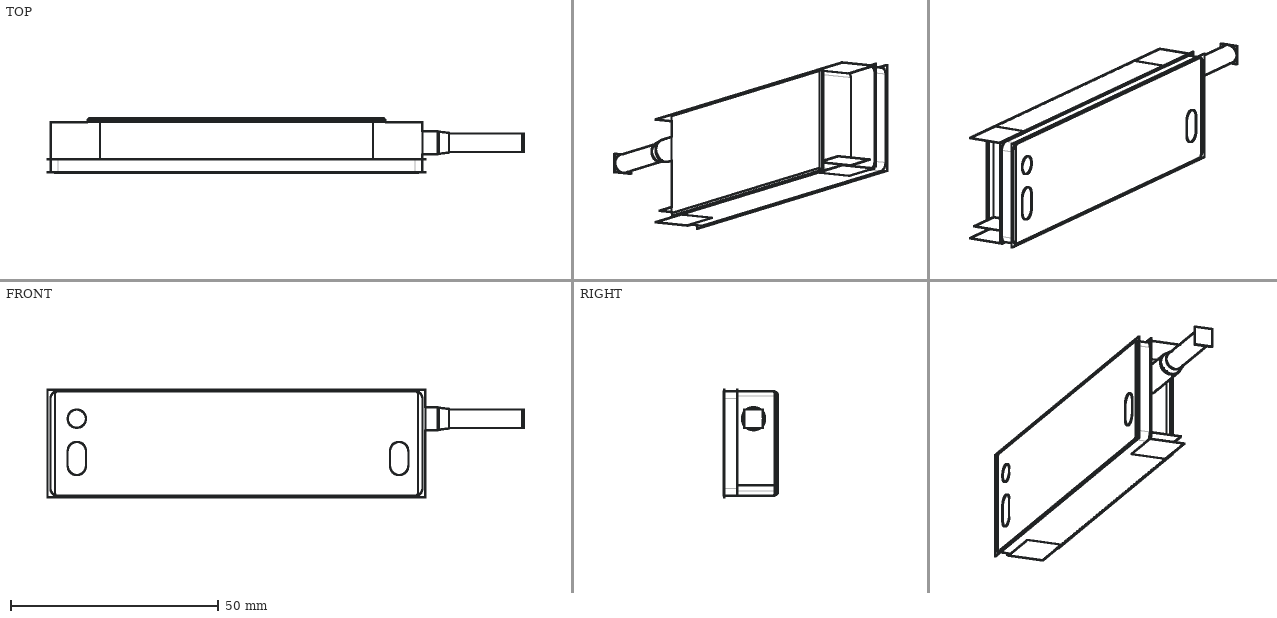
import cadquery as cq


TOTAL_LENGTH = 115.12
TOTAL_DEPTH = 13.24
TOTAL_HEIGHT = 26.0

PLATE_LENGTH = 89.8
PLATE_HEIGHT = 25.3
PLATE_DEPTH = 3.4
PLATE_CORNER = 1.8
LIP_LENGTH = 91.3
LIP_THICKNESS = 0.1
BACK_LIP_BOTTOM = -12.2

FRONT_PANEL_LENGTH = 87.7
FRONT_PANEL_HEIGHT = 25.2
FRONT_PANEL_RISE = 0.15
FRONT_PANEL_CORNER = 0.6

EAR_LENGTH = 11.2
HOUSING_LENGTH = PLATE_LENGTH - 2 * EAR_LENGTH
BACK_PANEL_THICKNESS = 0.94
HOUSING_CORNER = 1.2
HOUSING_BACK = TOTAL_DEPTH - BACK_PANEL_THICKNESS
FLAP_THICKNESS = 0.1
INNER_FLAP_RISE = 2.6
INNER_FLAP_SETBACK = 2.0

BACK_PANEL_LENGTH = 72.0
BACK_PANEL_HEIGHT = 24.8
BACK_PANEL_CHAMFER = 0.5

RECESS_DEPTH = 0.2
RECESS_WIDTH = 4.4
SLOT_LENGTH = 8.0
LEFT_RECESS_X = -38.55
RIGHT_RECESS_X = 39.3
SLOT_Z = -3.6
ROUND_RECESS_Z = 6.0

CABLE_Y = 7.3
CABLE_Z = 6.0
GLAND_RADIUS = 2.8
GLAND_OVERHANG = 4.0
GLAND_CHAMFER = 0.4
CONE_LENGTH = 2.4
CONE_START_RADIUS = 2.7
CONE_END_RADIUS = 2.4
CABLE_RADIUS = 2.25
CABLE_END_X = TOTAL_LENGTH - LIP_LENGTH / 2
END_TAB_THICKNESS = 0.5


def block(x_range, y_range, z_range):
    """Box between the given limits on each axis."""
    x0, x1 = x_range
    y0, y1 = y_range
    z0, z1 = z_range
    return cq.Workplane("XY").box(x1 - x0, y1 - y0, z1 - z0, centered=False).translate((x0, y0, z0))


def centred(size):
    """Limits of a length centred on zero."""
    return (-size / 2, size / 2)


def make_plate():
    """Base plate with rounded corners, its edge lips and the raised front panel."""
    lip_front = FRONT_PANEL_RISE
    lip_back = lip_front + LIP_THICKNESS
    plate = block(centred(PLATE_LENGTH), (lip_front, PLATE_DEPTH), centred(PLATE_HEIGHT))
    plate = plate.edges("|Y").fillet(PLATE_CORNER)
    front_lip = block(centred(LIP_LENGTH), (lip_front, lip_back), centred(TOTAL_HEIGHT))
    back_lip = block(
        centred(LIP_LENGTH),
        (PLATE_DEPTH - LIP_THICKNESS, PLATE_DEPTH),
        (BACK_LIP_BOTTOM, TOTAL_HEIGHT / 2),
    )
    panel = block(centred(FRONT_PANEL_LENGTH), (0, lip_back), centred(FRONT_PANEL_HEIGHT))
    panel = panel.edges("|Y").fillet(FRONT_PANEL_CORNER)
    return plate.union(front_lip).union(back_lip).union(panel)


def make_housing():
    """Housing block, the flaps that carry on over both ears, and the chamfered back panel."""
    depth = (PLATE_DEPTH - LIP_THICKNESS, HOUSING_BACK)
    bottom, top = centred(PLATE_HEIGHT)
    inner = bottom + INNER_FLAP_RISE
    inner_length = PLATE_LENGTH - 2 * INNER_FLAP_SETBACK
    housing = block(centred(HOUSING_LENGTH), depth, (bottom, top))
    housing = housing.edges("|Y").fillet(HOUSING_CORNER)
    flaps = (
        (PLATE_LENGTH, top),
        (inner_length, inner),
        (PLATE_LENGTH, bottom + FLAP_THICKNESS),
    )
    for length, flap_top in flaps:
        housing = housing.union(block(centred(length), depth, (flap_top - FLAP_THICKNESS, flap_top)))
    back_panel = block(centred(BACK_PANEL_LENGTH), (HOUSING_BACK, TOTAL_DEPTH), centred(BACK_PANEL_HEIGHT))
    back_panel = back_panel.faces(">Y").chamfer(BACK_PANEL_CHAMFER)
    return housing.union(back_panel)


def rod(start_x, end_x, start_radius, end_radius):
    """Round rod, straight or tapered, on the cable axis."""
    profile = [(start_x, 0), (start_x, start_radius), (end_x, end_radius), (end_x, 0)]
    solid = cq.Workplane("XY").polyline(profile).close().revolve(360, (0, 0, 0), (1, 0, 0))
    return solid.translate((0, CABLE_Y, CABLE_Z))


def make_cable():
    """Gland, tapered sleeve and cable, closed by a square end tab."""
    gland_end = PLATE_LENGTH / 2 + GLAND_OVERHANG
    cone_end = gland_end + CONE_LENGTH
    gland = rod(HOUSING_LENGTH / 2, gland_end, GLAND_RADIUS, GLAND_RADIUS)
    gland = gland.faces(">X").chamfer(GLAND_CHAMFER)
    cone = rod(gland_end, cone_end, CONE_START_RADIUS, CONE_END_RADIUS)
    cable = rod(cone_end, CABLE_END_X, CABLE_RADIUS, CABLE_RADIUS)
    tab = block(
        (CABLE_END_X - END_TAB_THICKNESS, CABLE_END_X),
        (CABLE_Y - CABLE_RADIUS, CABLE_Y + CABLE_RADIUS),
        (CABLE_Z - CABLE_RADIUS, CABLE_Z + CABLE_RADIUS),
    )
    return gland.union(cone).union(cable).union(tab)


def make_recesses():
    """Cutters for the round recess and the two upright slots in the front face."""
    round_recess = cq.Workplane("XZ").center(LEFT_RECESS_X, ROUND_RECESS_Z).circle(RECESS_WIDTH / 2)
    slot_centres = [(LEFT_RECESS_X, SLOT_Z), (RIGHT_RECESS_X, SLOT_Z)]
    slots = cq.Workplane("XZ").pushPoints(slot_centres).slot2D(SLOT_LENGTH, RECESS_WIDTH, 90)
    return round_recess.extrude(-RECESS_DEPTH).union(slots.extrude(-RECESS_DEPTH))


result = make_plate().union(make_housing()).union(make_cable()).cut(make_recesses())